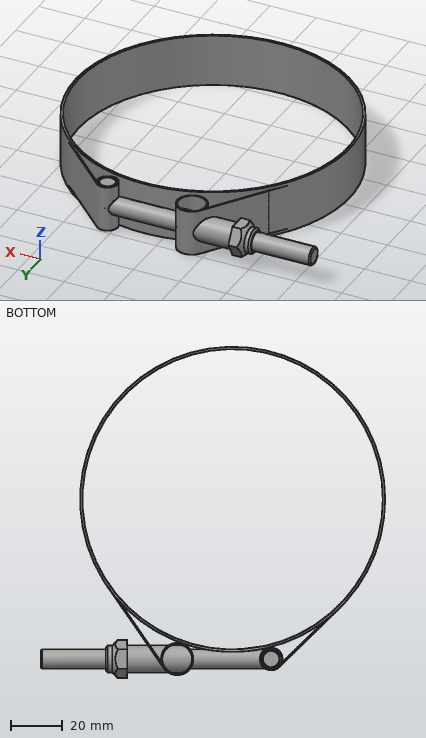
import cadquery as cq
import math


BAND_BORE_RADIUS = 116.1 / 2
BAND_RADIUS = 118.1 / 2
BAND_WIDTH = 22.3

STRAP_WIDTH = 19.5
STRAP_THICKNESS = 0.5
SLEEVE_LOOP_X = -21.5
SLEEVE_LOOP_BORE_RADIUS = 11.5 / 2
PIN_LOOP_X = 14.9
PIN_LOOP_BORE_RADIUS = 7.7 / 2

OVERALL_LENGTH = 133.3
BOLT_END_X = BAND_RADIUS - OVERALL_LENGTH
BOLT_BITE = 0.07
BOLT_RADIUS = 7.6 / 2
BOLT_Y = BAND_BORE_RADIUS + BOLT_RADIUS - BOLT_BITE
BOLT_TIP_RADIUS = 6.4 / 2
PIN_RADIUS = 6.4 / 2

SLEEVE_RADIUS = 10.8 / 2
NUT_FACE_X = -40.8
NUT_LENGTH = 5.7
NUT_CORNER_RADIUS = 14.8 / 2
COLLAR_RADIUS = 10.5 / 2
COLLAR_LENGTH = 2.5
COLLAR_CHAMFER = 0.8


def upright_cylinder(x, y, radius, height):
    """Cylinder parallel to Z, centred on the mid-plane."""
    return cq.Workplane("XY").center(x, y).circle(radius).extrude(height / 2, both=True)


def bolt_axis_cylinder(x_start, x_end, radius):
    """Cylinder on the bolt axis."""
    section = cq.Workplane("YZ", origin=(x_start, BOLT_Y, 0)).circle(radius)
    return section.extrude(x_end - x_start)


def make_band():
    blank = upright_cylinder(0, 0, BAND_RADIUS, BAND_WIDTH)
    return blank.cut(upright_cylinder(0, 0, BAND_BORE_RADIUS, BAND_WIDTH))


def make_strap(loop_x, bore_radius, side):
    """Closed loop and the straight leg tangent to loop and band; side is -1 for left, 1 for right."""
    loop_radius = bore_radius + STRAP_THICKNESS
    loop_distance = math.hypot(loop_x, BOLT_Y)
    lean = math.acos((BAND_RADIUS - loop_radius) / loop_distance)
    normal_angle = math.atan2(BOLT_Y, loop_x) - side * lean
    normal = cq.Vector(math.cos(normal_angle), math.sin(normal_angle))
    loop_centre = cq.Vector(loop_x, BOLT_Y)
    leg_corners = [
        loop_centre + normal * loop_radius,
        normal * BAND_RADIUS,
        normal * (BAND_RADIUS - STRAP_THICKNESS),
        loop_centre + normal * bore_radius,
    ]
    leg = cq.Workplane("XY").polyline([(p.x, p.y) for p in leg_corners]).close()
    strap = leg.extrude(STRAP_WIDTH / 2, both=True)
    strap = strap.union(upright_cylinder(loop_x, BOLT_Y, loop_radius, STRAP_WIDTH))
    return strap.cut(upright_cylinder(loop_x, BOLT_Y, bore_radius, STRAP_WIDTH))


def make_bolt():
    shank = bolt_axis_cylinder(BOLT_END_X, PIN_LOOP_X, BOLT_RADIUS)
    shank = shank.faces("<X").chamfer(BOLT_RADIUS - BOLT_TIP_RADIUS)
    return shank.union(upright_cylinder(PIN_LOOP_X, BOLT_Y, PIN_RADIUS, STRAP_WIDTH))


def make_sleeve():
    """Spacer tube from the nut to the far wall of its loop, where it follows the loop's curve."""
    loop_radius = SLEEVE_LOOP_BORE_RADIUS + STRAP_THICKNESS
    loop_core = upright_cylinder(SLEEVE_LOOP_X, BOLT_Y, loop_radius, STRAP_WIDTH)
    rounded_end = bolt_axis_cylinder(SLEEVE_LOOP_X, SLEEVE_LOOP_X + loop_radius, SLEEVE_RADIUS)
    straight = bolt_axis_cylinder(NUT_FACE_X, SLEEVE_LOOP_X, SLEEVE_RADIUS)
    return straight.union(rounded_end.intersect(loop_core))


def make_nut():
    """Hexagon with corners toward +Y and -Y, an outer 45 degree cone and a chamfered collar."""
    hexagon = cq.Workplane("YZ", origin=(NUT_FACE_X, BOLT_Y, 0)).polygon(6, 2 * NUT_CORNER_RADIUS)
    cone_depth = NUT_CORNER_RADIUS - COLLAR_RADIUS
    envelope = bolt_axis_cylinder(NUT_FACE_X - NUT_LENGTH, NUT_FACE_X, NUT_CORNER_RADIUS)
    nut = hexagon.extrude(-NUT_LENGTH).intersect(envelope.faces("<X").chamfer(cone_depth))
    collar_end_x = NUT_FACE_X - NUT_LENGTH - COLLAR_LENGTH
    collar = bolt_axis_cylinder(collar_end_x, NUT_FACE_X, COLLAR_RADIUS)
    return nut.union(collar.faces("<X").chamfer(COLLAR_CHAMFER))


result = (
    make_band()
    .union(make_strap(SLEEVE_LOOP_X, SLEEVE_LOOP_BORE_RADIUS, -1))
    .union(make_strap(PIN_LOOP_X, PIN_LOOP_BORE_RADIUS, 1))
    .union(make_bolt())
    .union(make_sleeve())
    .union(make_nut())
)